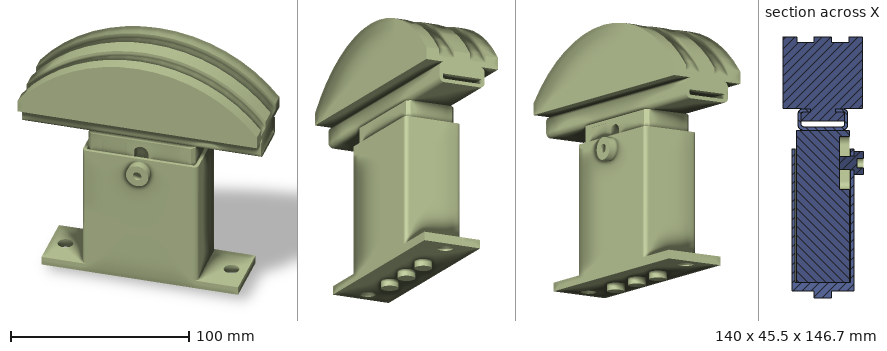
import cadquery as cq

length = 140.0
total_height = 146.7

pin_length = 4.0
pin_diameter = 10.0
pin_pitch = 21.0
base_length = 115.0
base_thickness = 5.0
base_hole_diameter = 8.8
base_hole_edge_distance = 9.0
housing_length = 67.5
housing_width = 35.0
housing_height = 80.0
housing_wall = 2.0
housing_corner_radius = 2.5
cavity_corner_radius = 1.0

cavity_length = housing_length - 2 * housing_wall
cavity_width = housing_width - 2 * housing_wall
base_bottom = pin_length
base_top = base_bottom + base_thickness
housing_top = base_bottom + housing_height
housing_front = -housing_width / 2

plunger_clearance = 0.5
plunger_length = cavity_length - 2 * plunger_clearance
plunger_width = cavity_width - 2 * plunger_clearance
plunger_extension = 10.4
plunger_chamfer = 2.0
plunger_top = housing_top + plunger_extension
plunger_front = -plunger_width / 2

slot_width = 8.5
slot_depth = 5.5
slot_top = plunger_top - 3.8

label_length = 15.0
label_height = 11.7
label_depth = 0.1
label_center_x = -15.7
label_top = plunger_top - 1.9

screw_height = housing_top - 8.0
screw_head_diameter = 13.0
screw_head_height = 5.5
screw_shank_diameter = 7.6
screw_socket_diameter = 5.0
screw_socket_depth = 3.7

rail_width = 28.2
rail_height = 12.0
rail_wall = 2.0
rail_outer_radius = 3.0
rail_inner_radius = 1.0
rail_opening = 13.8
rail_bottom = plunger_top
rail_top = rail_bottom + rail_height

guide_width = 45.0
guide_end_height = 7.0
groove_width = 9.5
center_rib_width = 10.0
groove_crest_depth = 3.0
groove_end_depth = 4.0
foot_height = 5.0
guide_end_top = rail_top + guide_end_height


def block(size_x, size_y, bottom, top):
    """Box centred on the Z axis between two heights."""
    return cq.Workplane("XY").workplane(offset=bottom).rect(size_x, size_y).extrude(top - bottom)


def cylinder_along_y(diameter, front, back):
    """Cylinder at the clamp screw axis between two Y positions."""
    start = cq.Workplane("XZ", origin=(0, back, screw_height))
    return start.circle(diameter / 2).extrude(back - front)


def make_housing():
    base = block(base_length, housing_width, base_bottom, base_top)
    hole_x = base_length / 2 - base_hole_edge_distance
    base_holes = (
        cq.Workplane("XY")
        .workplane(offset=base_bottom)
        .pushPoints([(-hole_x, 0), (hole_x, 0)])
        .circle(base_hole_diameter / 2)
        .extrude(base_thickness)
    )
    tube = block(housing_length, housing_width, base_top, housing_top)
    tube = tube.edges("|Z").fillet(housing_corner_radius)
    pins = (
        cq.Workplane("XY")
        .pushPoints([(-pin_pitch, 0), (0, 0), (pin_pitch, 0)])
        .circle(pin_diameter / 2)
        .extrude(pin_length)
    )
    cavity = block(cavity_length, cavity_width, base_top, housing_top)
    cavity = cavity.edges("|Z").fillet(cavity_corner_radius)
    screw_hole = cylinder_along_y(screw_shank_diameter, housing_front, housing_front + housing_wall)
    return base.cut(base_holes).union(tube).union(pins).cut(cavity).cut(screw_hole)


def make_plunger():
    body = block(plunger_length, plunger_width, base_top, plunger_top)
    body = body.edges("|Z").chamfer(plunger_chamfer)
    slot_length = 2 * (slot_top - screw_height)
    slot = (
        cq.Workplane("XZ", origin=(0, plunger_front, screw_height))
        .slot2D(slot_length, slot_width, 90)
        .extrude(-slot_depth)
    )
    label = (
        cq.Workplane("XZ", origin=(label_center_x, plunger_front, label_top - label_height / 2))
        .rect(label_length, label_height)
        .extrude(-label_depth)
    )
    return body.cut(slot).cut(label)


def make_clamp_screw():
    head_front = housing_front - screw_head_height
    head = cylinder_along_y(screw_head_diameter, head_front, housing_front)
    shank = cylinder_along_y(screw_shank_diameter, housing_front, plunger_front + slot_depth)
    socket = cylinder_along_y(screw_socket_diameter, head_front, head_front + screw_socket_depth)
    return head.union(shank).cut(socket)


def rail_channel():
    channel = block(length, rail_width - 2 * rail_wall, rail_bottom + rail_wall, rail_top - rail_wall)
    return channel.edges("|X").fillet(rail_inner_radius)


def make_rail():
    outer = block(length, rail_width, rail_bottom, rail_top).edges("|X").fillet(rail_outer_radius)
    opening = block(length, rail_opening, rail_top - rail_wall, rail_top)
    return outer.cut(rail_channel()).cut(opening)


def domed_profile(bottom, end_height, crest_height, width, center_y):
    """Slab with an arched top, extruded along Y."""
    half = length / 2
    return (
        cq.Workplane("XZ", origin=(0, center_y + width / 2, 0))
        .moveTo(-half, bottom)
        .lineTo(half, bottom)
        .lineTo(half, end_height)
        .threePointArc((0, crest_height), (-half, end_height))
        .close()
        .extrude(width)
    )


def make_chain_guide():
    guide = domed_profile(rail_top, guide_end_top, total_height, guide_width, 0)
    groove_offset = (center_rib_width + groove_width) / 2
    for center_y in (-groove_offset, groove_offset):
        groove = block(length, groove_width, rail_top, total_height).translate((0, center_y, 0))
        floor = domed_profile(
            rail_top,
            guide_end_top - groove_end_depth,
            total_height - groove_crest_depth,
            groove_width,
            center_y,
        )
        guide = guide.cut(groove.cut(floor))

    foot_top = rail_top - rail_wall
    foot_space = block(length, rail_width, foot_top - foot_height, foot_top)
    foot = rail_channel().intersect(foot_space)
    neck = block(length, rail_opening, foot_top - foot_height, rail_top)
    return guide.union(neck).union(foot)


housing = make_housing()
plunger = make_plunger()
clamp_screw = make_clamp_screw()
rail = make_rail()
chain_guide = make_chain_guide()

result = cq.Compound.makeCompound(
    [housing.val(), plunger.val(), clamp_screw.val(), rail.val(), chain_guide.val()]
)